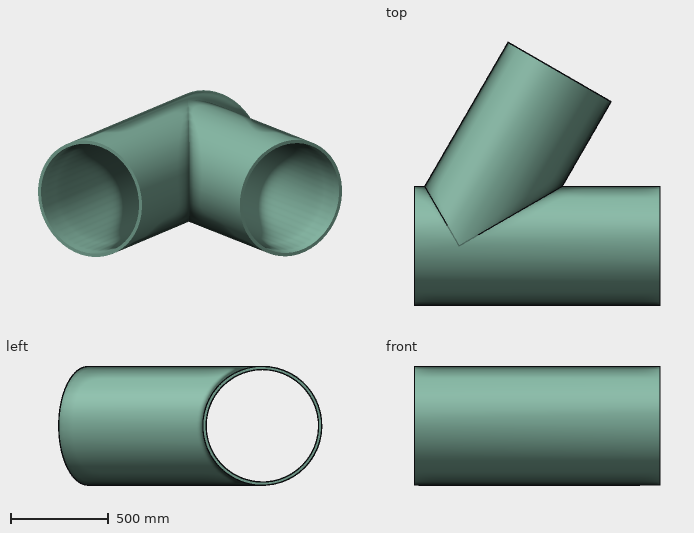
import cadquery as cq
import math

outer_diameter = 609.6
bore_diameter = 574.7
inlet_length = 228.6
outlet_length = 1028.7
branch_length = outlet_length
branch_angle = 60.0

run_length = inlet_length + outlet_length
run_start = cq.Vector(-inlet_length, 0, 0)
run_direction = cq.Vector(1, 0, 0)

axis_crossing = cq.Vector(0, 0, 0)
branch_direction = cq.Vector(
    math.cos(math.radians(branch_angle)),
    math.sin(math.radians(branch_angle)),
    0,
)


def cylinder(diameter, length, start, direction):
    """Return a solid cylinder along a direction from its start point."""
    return cq.Workplane(obj=cq.Solid.makeCylinder(diameter / 2, length, start, direction))


def joined_cylinders(diameter):
    """Return the run and branch cylinders of one diameter as one body."""
    run = cylinder(diameter, run_length, run_start, run_direction)
    branch = cylinder(diameter, branch_length, axis_crossing, branch_direction)
    return run.union(branch)


def beyond_inlet():
    """Return a block covering the space past the inlet face of the run.

    The square base of the branch reaches past this face and is trimmed there.
    """
    return (
        cq.Workplane("XY")
        .box(outer_diameter, outer_diameter, outer_diameter)
        .translate((-inlet_length - outer_diameter / 2, 0, 0))
    )


outer_body = joined_cylinders(outer_diameter).cut(beyond_inlet())
result = outer_body.cut(joined_cylinders(bore_diameter))